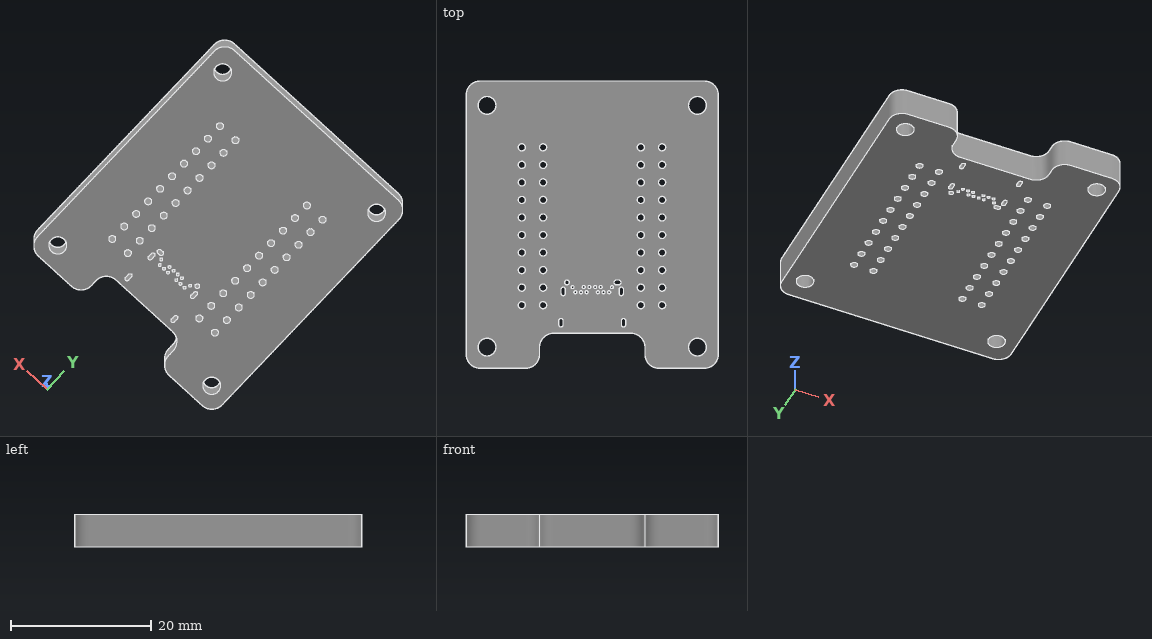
import cadquery as cq

width = 36.0
length = 41.0
thickness = 4.67
corner_radius = 2.0

notch_width = 15.0
notch_depth = 5.0

mount_diameter = 2.5
mount_spacing_x = 30.0
mount_front_margin = 3.05
mount_back_margin = 3.5

header_diameter = 1.0
header_pitch = 2.5
header_rows = 10
header_center_x = -0.05
header_inner_x = 6.95
header_outer_x = 10.0
header_front_y = -11.5

contact_diameter = 0.4
contact_half_pitch = 0.4
back_contact_steps = (1, 3, 7)
front_contact_steps = (2, 4, 6)
back_contact_y = -8.9
contact_row_gap = 0.75
front_contact_y = back_contact_y - contact_row_gap

peg_diameter = 0.65
peg_slot_length = 1.0
peg_x = 3.6
peg_y = -8.25

tab_slot_width = 0.57
tab_slot_length = 1.2
back_tab_x = 4.15
back_tab_y = -9.5
front_tab_x = 4.45
front_tab_y = -14.0


def mirrored(offsets, y, center_x=0):
    """Points at each offset to both sides of center_x, all at the same y."""
    return [(center_x + side * offset, y) for offset in offsets for side in (-1, 1)]


def round_cutters(points, diameter):
    """Full-depth cylinders at the given points."""
    return cq.Workplane("XY").pushPoints(points).circle(diameter / 2).extrude(thickness)


def slot_cutters(points, slot_length, slot_width, angle):
    """Full-depth round-ended slots; the angle is measured from X in degrees."""
    return cq.Workplane("XY").pushPoints(points).slot2D(slot_length, slot_width, angle).extrude(thickness)


def make_plate():
    """Rectangular plate with a front notch and all upright corners rounded."""
    blank = cq.Workplane("XY").box(width, length, thickness, centered=(True, True, False))
    notch = (
        cq.Workplane("XY")
        .center(0, -length / 2)
        .rect(notch_width, 2 * notch_depth)
        .extrude(thickness)
    )
    return blank.cut(notch).edges("|Z").fillet(corner_radius)


mount_points = (
    mirrored([mount_spacing_x / 2], -length / 2 + mount_front_margin)
    + mirrored([mount_spacing_x / 2], length / 2 - mount_back_margin)
)

header_points = []
for row in range(header_rows):
    row_y = header_front_y + row * header_pitch
    header_points += mirrored([header_inner_x, header_outer_x], row_y, header_center_x)

contact_points = (
    mirrored([step * contact_half_pitch for step in back_contact_steps], back_contact_y)
    + mirrored([step * contact_half_pitch for step in front_contact_steps], front_contact_y)
)

tab_points = mirrored([back_tab_x], back_tab_y) + mirrored([front_tab_x], front_tab_y)

result = (
    make_plate()
    .cut(round_cutters(mount_points, mount_diameter))
    .cut(round_cutters(header_points, header_diameter))
    .cut(round_cutters(contact_points, contact_diameter))
    .cut(round_cutters([(-peg_x, peg_y)], peg_diameter))
    .cut(slot_cutters([(peg_x, peg_y)], peg_slot_length, peg_diameter, 0))
    .cut(slot_cutters(tab_points, tab_slot_length, tab_slot_width, 90))
)